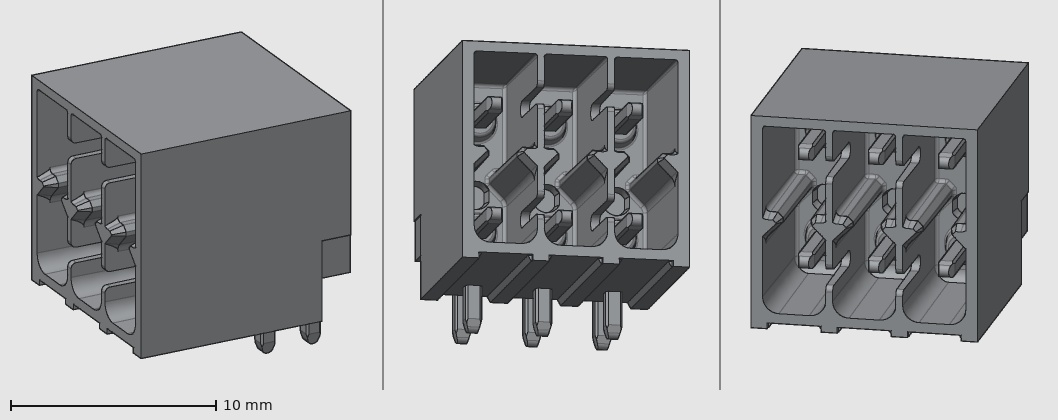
import cadquery as cq
import math

WIDTH = 11.3
DEPTH = 11.6
HEIGHT = 12.8
FRONT_Y = -DEPTH / 2
REAR_Y = DEPTH / 2
HOUSING_BOTTOM = 2.0
STEP_Y = REAR_Y - 1.59
REAR_BLOCK_BOTTOM = 4.24
REAR_BLOCK_TOP = 6.23
REAR_BLOCK_INSET = 0.06

PITCH = 3.5
COLUMNS = [-PITCH, 0, PITCH]
LOWER_ROW_Z = 4.76
ROW_SPACING = 5.5
UPPER_ROW_Z = LOWER_ROW_Z + ROW_SPACING
ROWS = [LOWER_ROW_Z, UPPER_ROW_Z]

CAVITY_WIDTH = 3.15
CAVITY_BOTTOM = 2.8
CAVITY_TOP = 12.3
CAVITY_DEPTH = 7.04
FLOOR_Y = FRONT_Y + CAVITY_DEPTH
CAVITY_DRAFT = 0.7
CAVITY_TOP_RADIUS = 0.15
CAVITY_BOTTOM_RADIUS = 0.82
FLOOR_FILLET = 0.19
LOWER_FLOOR_RADIUS = 0.67

LEDGE_TOP = 7.76
LEDGE_KNEE_X = 0.97
LEDGE_TIP_X = 0.7
LEDGE_TIP_HEIGHT = 0.22
LEDGE_ROOT = 0.38
LEDGE_TOP_FILLET = 0.25
LEDGE_UNDER_FILLET = 0.61
LEDGE_LEAD_LENGTH = 0.7
LEDGE_LEAD_OFFSET = 0.2

SLOT_HEIGHT = 0.82
SLOT_DEPTH = 3.84
SLOT_MOUTH_RADIUS = 0.28

PIN_SIZE = 0.82
PIN_EDGE_CHAMFER = 0.12
PIN_TAPER_LENGTH = 0.63
PIN_END_WIDTH = 0.47
PIN_ROUND_WIDTH = 0.59
PIN_ROUND_HEIGHT = 0.24
PIN_TIP_RECESS = 2.18
PIN_EMBED = 0.38
ROW_LEG_SPACING = 2.51
REAR_LEG_Y = REAR_Y - 1.09
FRONT_LEG_Y = REAR_LEG_Y - ROW_LEG_SPACING

COLLAR_BASE_RADIUS = 0.95
COLLAR_TOP_RADIUS = 0.85
COLLAR_HEIGHT = 0.77
COLLAR_BASE_FILLET = 0.1
COLLAR_TOP_FILLET = 0.17
COLLAR_EMBED = 0.13

RECESS_Z = 6.65
RECESS_RADIUS = 0.7
RECESS_HALF_WIDTH = 0.64
RECESS_DEPTH = 0.64
RECESS_DRAFT = 10.0

GROOVE_TOP = 2.29
GROOVE_FRONT_WIDTH = 2.69
GROOVE_FRONT_DEPTH = 0.25
GROOVE_TOP_WIDTH = 2.3
GROOVE_BOTTOM_WIDTH = 2.64

SECTION_THICKNESS = 0.13


def box(x_min, x_max, y_min, y_max, z_min, z_max):
    size = (x_max - x_min, y_max - y_min, z_max - z_min)
    return cq.Workplane().box(*size, centered=False).translate((x_min, y_min, z_min))


def make_housing():
    half = WIDTH / 2
    inner = half - REAR_BLOCK_INSET
    front = box(-half, half, FRONT_Y, STEP_Y, HOUSING_BOTTOM, HEIGHT)
    upper_rear = box(-half, half, STEP_Y, REAR_Y, REAR_BLOCK_TOP, HEIGHT)
    lower_rear = box(-inner, inner, STEP_Y, REAR_Y, REAR_BLOCK_BOTTOM, REAR_BLOCK_TOP)
    return front.union(upper_rear).union(lower_rear)


def make_wall_slab():
    """Straight slab with the plain outline of a cavity, its rear on the front face."""
    half = CAVITY_WIDTH / 2
    slab = box(-half, half, FRONT_Y - SECTION_THICKNESS, FRONT_Y, CAVITY_BOTTOM, CAVITY_TOP)
    slab = slab.edges("|Y and >Z").fillet(CAVITY_TOP_RADIUS)
    return slab.edges("|Y and <Z").fillet(CAVITY_BOTTOM_RADIUS)


def make_ledge():
    """Straight pointed ledge for the +X wall, its rear on the front face."""
    wall_x = CAVITY_WIDTH / 2
    root_x = wall_x + LEDGE_ROOT
    tip_top = LEDGE_TOP - (LEDGE_KNEE_X - LEDGE_TIP_X)
    tip_bottom = tip_top - LEDGE_TIP_HEIGHT
    wall_bottom = tip_bottom - (wall_x - LEDGE_TIP_X)
    outline = [
        (root_x, LEDGE_TOP + 2 * LEDGE_TOP_FILLET),
        (wall_x, LEDGE_TOP + 2 * LEDGE_TOP_FILLET),
        (wall_x, LEDGE_TOP),
        (LEDGE_KNEE_X, LEDGE_TOP),
        (LEDGE_TIP_X, tip_top),
        (LEDGE_TIP_X, tip_bottom),
        (wall_x, wall_bottom),
        (wall_x, wall_bottom - LEDGE_UNDER_FILLET),
        (root_x, wall_bottom - LEDGE_UNDER_FILLET),
    ]
    ledge = cq.Workplane("XZ", origin=(0, FRONT_Y, 0)).polyline(outline).close().extrude(SECTION_THICKNESS)
    middle_y = FRONT_Y - SECTION_THICKNESS / 2
    top_corner = cq.selectors.NearestToPointSelector((wall_x, middle_y, LEDGE_TOP))
    under_corner = cq.selectors.NearestToPointSelector((wall_x, middle_y, wall_bottom))
    ledge = ledge.edges(top_corner).fillet(LEDGE_TOP_FILLET)
    return ledge.edges(under_corner).fillet(LEDGE_UNDER_FILLET)


def cut_ledges(cavity, ledge):
    return cavity.cut(ledge).cut(ledge.mirror("YZ"))


def extrude_inward(section, length, taper):
    """Extrude the rear outline of a section from the front face into the housing."""
    inward = cq.Workplane("XZ").transformed(rotate=(180, 0, 0))
    outline = section.faces(">Y").wires().toPending().copyWorkplane(inward)
    return outline.extrude(length, taper=taper, combine=False)


def make_lead_in():
    """Space that opens up around the tapered front ends of the two ledges."""
    lead_angle = math.degrees(math.atan(LEDGE_LEAD_OFFSET / LEDGE_LEAD_LENGTH))
    outward = cq.Workplane("XZ")
    ledge_end = make_ledge().faces(">Y").wires().toPending().copyWorkplane(outward)
    ledge_end = ledge_end.extrude(LEDGE_LEAD_LENGTH, taper=lead_angle, combine=False)
    ledge_end = ledge_end.translate((0, LEDGE_LEAD_LENGTH, 0))
    return cut_ledges(extrude_inward(make_wall_slab(), LEDGE_LEAD_LENGTH, CAVITY_DRAFT), ledge_end)


def make_cavity():
    """Drafted plug cavity with rounded floor edges, centred on X = 0."""
    section = cut_ledges(make_wall_slab(), make_ledge())
    cavity = extrude_inward(section, CAVITY_DEPTH, CAVITY_DRAFT)
    cavity = cavity.faces(">Y").edges().fillet(FLOOR_FILLET)
    half = CAVITY_WIDTH / 2
    rounding = box(-half, half, FRONT_Y, FLOOR_Y, CAVITY_BOTTOM, CAVITY_TOP)
    rounding = rounding.edges("|X and >Y and <Z").fillet(LOWER_FLOOR_RADIUS)
    return cavity.intersect(rounding)


def make_floor_recess():
    """Round recess with flattened sides, sunk into a cavity floor."""
    flat_end = math.sqrt(RECESS_RADIUS**2 - RECESS_HALF_WIDTH**2)
    return (
        cq.Workplane("XZ", origin=(0, FLOOR_Y, RECESS_Z))
        .transformed(rotate=(180, 0, 0))
        .moveTo(RECESS_HALF_WIDTH, -flat_end)
        .lineTo(RECESS_HALF_WIDTH, flat_end)
        .threePointArc((0, RECESS_RADIUS), (-RECESS_HALF_WIDTH, flat_end))
        .lineTo(-RECESS_HALF_WIDTH, -flat_end)
        .threePointArc((0, -RECESS_RADIUS), (RECESS_HALF_WIDTH, -flat_end))
        .close()
        .extrude(RECESS_DEPTH, taper=RECESS_DRAFT)
    )


def make_wall_slot():
    """Slot with a flared mouth and a round end, centred on X = 0 and Z = 0."""
    half = SLOT_HEIGHT / 2
    mouth = half + SLOT_MOUTH_RADIUS
    mouth_end = FRONT_Y + SLOT_MOUTH_RADIUS
    round_start = FRONT_Y + SLOT_DEPTH - half
    return (
        cq.Workplane("YZ")
        .moveTo(FRONT_Y, -mouth)
        .radiusArc((mouth_end, -half), SLOT_MOUTH_RADIUS)
        .lineTo(round_start, -half)
        .threePointArc((FRONT_Y + SLOT_DEPTH, 0), (round_start, half))
        .lineTo(mouth_end, half)
        .radiusArc((FRONT_Y, mouth), SLOT_MOUTH_RADIUS)
        .close()
        .extrude((PITCH - CAVITY_WIDTH) / 2 + FLOOR_FILLET, both=True)
    )


def make_groove():
    """Groove between two feet: square at the front, flared farther back."""
    half_front = GROOVE_FRONT_WIDTH / 2
    front = box(
        -half_front, half_front, FRONT_Y, FRONT_Y + GROOVE_FRONT_DEPTH, HOUSING_BOTTOM, GROOVE_TOP
    )
    outline = [
        (-GROOVE_BOTTOM_WIDTH / 2, HOUSING_BOTTOM),
        (GROOVE_BOTTOM_WIDTH / 2, HOUSING_BOTTOM),
        (GROOVE_TOP_WIDTH / 2, GROOVE_TOP),
        (-GROOVE_TOP_WIDTH / 2, GROOVE_TOP),
    ]
    length = STEP_Y - FRONT_Y
    back = cq.Workplane("XZ", origin=(0, FRONT_Y, 0)).polyline(outline).close().extrude(-length)
    return front.union(back)


def make_collar():
    """Round collar whose foot blends into a cavity floor, centred on Z = 0."""
    foot_radius = COLLAR_BASE_RADIUS + COLLAR_BASE_FILLET
    profile = (
        cq.Workplane("XY")
        .moveTo(0, -COLLAR_EMBED)
        .lineTo(foot_radius, -COLLAR_EMBED)
        .lineTo(foot_radius, 0)
        .radiusArc((COLLAR_BASE_RADIUS, COLLAR_BASE_FILLET), COLLAR_BASE_FILLET)
        .lineTo(COLLAR_TOP_RADIUS, COLLAR_HEIGHT - COLLAR_TOP_FILLET)
        .radiusArc((COLLAR_TOP_RADIUS - COLLAR_TOP_FILLET, COLLAR_HEIGHT), -COLLAR_TOP_FILLET)
        .lineTo(0, COLLAR_HEIGHT)
        .close()
    )
    return profile.revolve().rotate((0, 0, 0), (1, 0, 0), 180).translate((0, FLOOR_Y, 0))


def make_pin(length):
    """Square pin along Z with its tip at Z = 0, tapered in X and rounded in Y."""
    half = PIN_SIZE / 2
    half_end = PIN_END_WIDTH / 2
    half_round = PIN_ROUND_WIDTH / 2
    bar = box(-half, half, -half, half, 0, length).edges("|Z").chamfer(PIN_EDGE_CHAMFER)
    taper_outline = [
        (-half_end, 0),
        (half_end, 0),
        (half, PIN_TAPER_LENGTH),
        (half, length),
        (-half, length),
        (-half, PIN_TAPER_LENGTH),
    ]
    taper = cq.Workplane("XZ").polyline(taper_outline).close().extrude(half, both=True)
    nose = (
        cq.Workplane("YZ")
        .moveTo(-half_round, PIN_ROUND_HEIGHT)
        .threePointArc((0, 0), (half_round, PIN_ROUND_HEIGHT))
        .lineTo(half, PIN_TAPER_LENGTH)
        .lineTo(half, length)
        .lineTo(-half, length)
        .lineTo(-half, PIN_TAPER_LENGTH)
        .close()
        .extrude(half, both=True)
    )
    return bar.intersect(taper).intersect(nose)


part = make_housing()

cavity = make_cavity().union(make_lead_in()).union(make_floor_recess())
groove = make_groove()
for x in COLUMNS:
    part = part.cut(cavity.translate((x, 0, 0))).cut(groove.translate((x, 0, 0)))

wall_slot = make_wall_slot()
for left_x, right_x in zip(COLUMNS, COLUMNS[1:]):
    for z in ROWS:
        part = part.cut(wall_slot.translate(((left_x + right_x) / 2, 0, z)))

tip_y = FRONT_Y + PIN_TIP_RECESS
contact = make_pin(FLOOR_Y + PIN_EMBED - tip_y).rotate((0, 0, 0), (1, 0, 0), -90)
contact = contact.translate((0, tip_y, 0)).union(make_collar())
rear_leg = make_pin(REAR_BLOCK_BOTTOM + PIN_EMBED).translate((0, REAR_LEG_Y, 0))
front_leg = make_pin(GROOVE_TOP + PIN_EMBED).translate((0, FRONT_LEG_Y, 0))
for x in COLUMNS:
    for z in ROWS:
        part = part.union(contact.translate((x, 0, z)))
    part = part.union(rear_leg.translate((x, 0, 0))).union(front_leg.translate((x, 0, 0)))

result = part